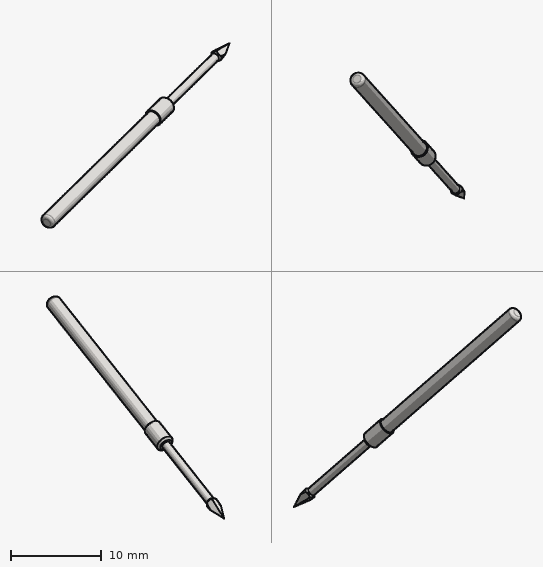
import cadquery as cq

total_length = 37.8
collar_diameter = 2.0
barrel_diameter = 1.7
plunger_diameter = 1.0
head_diameter = 1.32

barrel_length = 22.05
collar_length = 3.0
collar_chamfer = 0.25
barrel_end_radius = 0.38
head_length = 3.0
head_taper_length = 0.23

side_ridge_slope = 0.36
top_ridge_slope = 0.26

collar_end = barrel_length + collar_length
head_start = total_length - head_length


def cylinder_along_y(diameter, start, end):
    """Solid cylinder on the Y axis between two Y positions."""
    plane = cq.Workplane("XZ", origin=(0, start, 0))
    return plane.circle(diameter / 2).extrude(start - end)


def make_barrel():
    barrel = cylinder_along_y(barrel_diameter, 0, barrel_length)
    return barrel.faces("<Y").edges().fillet(barrel_end_radius)


def make_collar():
    collar = cylinder_along_y(collar_diameter, barrel_length, collar_end)
    return collar.faces(">Y").edges().chamfer(collar_chamfer)


def make_plunger():
    return cylinder_along_y(plunger_diameter, collar_end, head_start)


def make_head():
    """Round head cut to a four-sided point with a rhombic cross-section."""
    head = cylinder_along_y(head_diameter, head_start, total_length)
    head_taper_depth = (head_diameter - plunger_diameter) / 2
    head = head.faces("<Y").edges().chamfer(head_taper_length, head_taper_depth)
    half_width = side_ridge_slope * head_length
    half_height = top_ridge_slope * head_length
    rhombus = [(half_width, 0), (0, half_height), (-half_width, 0), (0, -half_height)]
    base = [cq.Vector(x, head_start, z) for x, z in rhombus]
    tip = cq.Vector(0, total_length, 0)
    faces = [cq.Face.makeFromWires(cq.Wire.makePolygon(base, close=True))]
    for i in range(len(base)):
        corners = [base[i - 1], base[i], tip]
        faces.append(cq.Face.makeFromWires(cq.Wire.makePolygon(corners, close=True)))
    point = cq.Solid.makeSolid(cq.Shell.makeShell(faces))
    return head.intersect(cq.Workplane(obj=point))


result = make_barrel().union(make_collar()).union(make_plunger()).union(make_head())